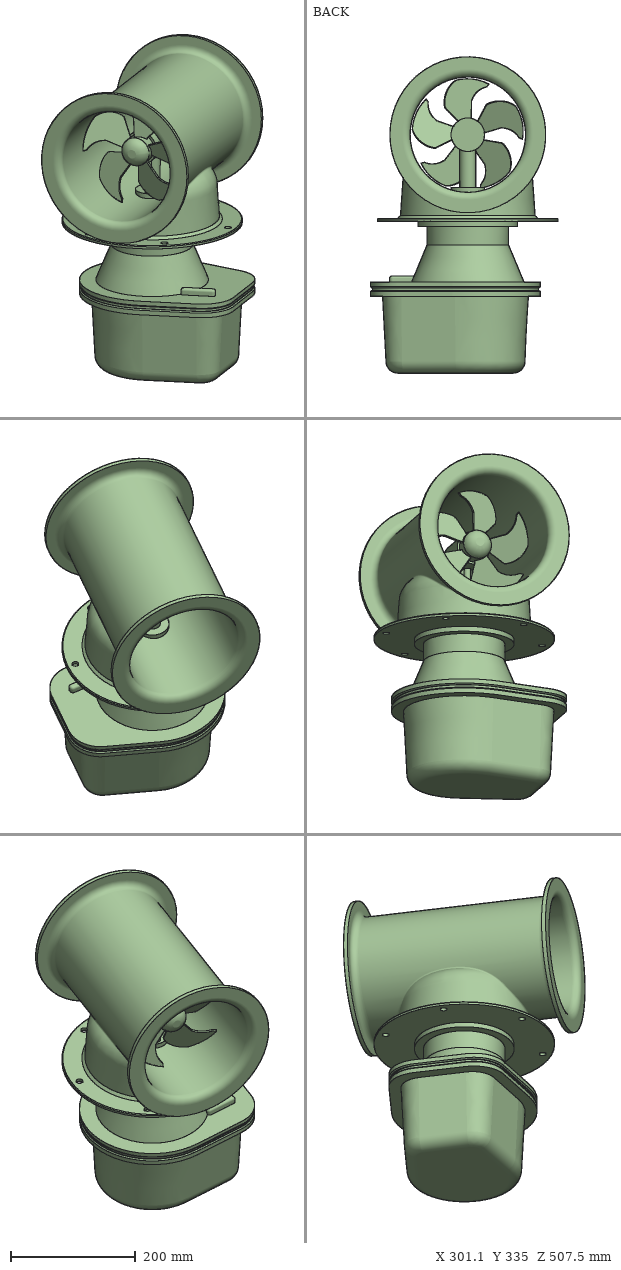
import cadquery as cq
import math


OVERALL_HEIGHT = 507.5

TUNNEL_LENGTH = 335.0
TUNNEL_OUTER_R = 196.0 / 2
BORE_R = 185.0 / 2
RIM_R = 250.0 / 2
RIM_THICKNESS = 6.5
RIM_FILLET = 11.0
MOUTH_FILLET = 12.0

PLATE_R = 290.0 / 2
PLATE_TOP = -134.0
PLATE_THICKNESS = 5.0
PLATE_EDGE_CHAMFER = 1.5
SOCKET_BASE_R = 108.0
SOCKET_SHOULDER_R = 104.5
SOCKET_SHOULDER_Z = -77.5
DOME_ROUND = 38.5
SELECT_MARGIN = 0.5
SEAM_FILLET = 2.5
SOCKET_FOOT = 4.5
BOLT_COUNT = 6
BOLT_HOLE_D = 10.5
BOLT_CIRCLE_R = 130.5

HOUSING_TOP = PLATE_TOP - PLATE_THICKNESS
BOSS_R = 160.0 / 2
BOSS_HEIGHT = 8.0
NECK_R = 131.0 / 2
NECK_BOTTOM = -176.5
CONE_BASE_R = 90.5
UPPER_FLANGE_TOP = -236.5
UPPER_FLANGE_THICKNESS = 9.0
GASKET_THICKNESS = 4.0
GASKET_INSET = 3.0
LOWER_FLANGE_THICKNESS = 9.5
FLANGE_EDGE_CHAMFER = 2.0
FLANGE_R = 117.0
FLANGE_REACH = 156.1
FLANGE_CORNER_R = 53.5
FLANK_ANGLE = 12.0
CUP_INSET = 19.5
CUP_CORNER_R = 38.5
CUP_DRAFT = 3.0
CUP_BOTTOM = RIM_R - OVERALL_HEIGHT
CUP_ROUND = 19.5

BAR_LENGTH = 56.0
BAR_WIDTH = 12.0
BAR_HEIGHT = 10.0
BAR_CENTER_X = 98.0
BAR_CENTER_Y = -47.5
BAR_TOP_ROUND = 4.0
BAR_CORNER_R = 4.5

BLADE_COUNT = 5
BLADE_TIP_R = 89.5
BLADE_THICKNESS = 3.0
BLADE_PITCH = 25.0
BLADE_ROOT_Z = 11.5
BLADE_Y = -65.0
HUB_R = 23.5
HUB_FRONT = -89.0
HUB_LENGTH = 38.0
NOSE_FLAT_R = 7.0
NOSE_LENGTH = 15.0
NOSE_BULGE_ANGLE = 40.0
GEARBOX_R = 27.0
GEARBOX_BACK = 25.5
LEG_D = 26.0
PIPE_D = 10.5
PIPE_STANDOFF = 4.5
FOOT_R = 27.0
FOOT_TOP = -84.5


def cylinder_down(radius, top, height):
    """Vertical cylinder on the Z axis, from `top` downward."""
    return cq.Workplane("XY").workplane(offset=top - height).circle(radius).extrude(height)


def cylinder_along_y(radius, start, length):
    """Cylinder on the tunnel axis, from Y = start toward +Y."""
    return cq.Workplane("XZ", origin=(0, start, 0)).circle(radius).extrude(-length)


def make_tunnel_tube():
    half = TUNNEL_LENGTH / 2
    rim_inner_y = half - RIM_THICKNESS
    outer = cylinder_along_y(TUNNEL_OUTER_R, -half, TUNNEL_LENGTH)
    for start in (-half, rim_inner_y):
        outer = outer.union(cylinder_along_y(RIM_R, start, RIM_THICKNESS))
    roots = cq.selectors.BoxSelector(
        (-RIM_R, -rim_inner_y - SELECT_MARGIN, -RIM_R), (RIM_R, rim_inner_y + SELECT_MARGIN, RIM_R)
    )
    on_wall = cq.selectors.RadiusNthSelector(0)
    return outer.edges("%CIRCLE").edges(roots).edges(on_wall).fillet(RIM_FILLET)


def make_bore():
    """Water passage, widening through a round mouth at each end."""
    half = TUNNEL_LENGTH / 2
    mouth_r = BORE_R + MOUTH_FILLET
    mouth_start = half - MOUTH_FILLET
    mid = MOUTH_FILLET * (1 - math.sqrt(0.5))
    profile = (
        cq.Workplane("XY")
        .moveTo(0, -half)
        .lineTo(mouth_r, -half)
        .threePointArc((BORE_R + mid, -half + mid), (BORE_R, -mouth_start))
        .lineTo(BORE_R, mouth_start)
        .threePointArc((BORE_R + mid, half - mid), (mouth_r, half))
        .lineTo(0, half)
        .close()
    )
    return profile.revolve(360, (0, 0, 0), (0, 1, 0))


def make_socket():
    """Slightly conical socket with a rounded dome, standing on the mounting plate."""
    dome_top = SOCKET_SHOULDER_Z + DOME_ROUND
    dome_flat_r = SOCKET_SHOULDER_R - DOME_ROUND
    diagonal = DOME_ROUND * math.sqrt(0.5)
    profile = (
        cq.Workplane("XZ")
        .moveTo(0, PLATE_TOP)
        .lineTo(SOCKET_BASE_R + SOCKET_FOOT, PLATE_TOP)
        .lineTo(SOCKET_BASE_R, PLATE_TOP + SOCKET_FOOT)
        .lineTo(SOCKET_SHOULDER_R, SOCKET_SHOULDER_Z)
        .threePointArc((dome_flat_r + diagonal, SOCKET_SHOULDER_Z + diagonal), (dome_flat_r, dome_top))
        .lineTo(0, dome_top)
        .close()
    )
    return profile.revolve(360, (0, 0, 0), (0, 1, 0))


def make_plate():
    plate = cylinder_down(PLATE_R, PLATE_TOP, PLATE_THICKNESS).edges(">Z").chamfer(PLATE_EDGE_CHAMFER)
    holes = (
        cq.Workplane("XY")
        .workplane(offset=HOUSING_TOP)
        .polarArray(BOLT_CIRCLE_R, 0, 360, BOLT_COUNT)
        .circle(BOLT_HOLE_D / 2)
        .extrude(PLATE_THICKNESS)
    )
    return plate.cut(holes)


def make_tunnel():
    shell = make_tunnel_tube().union(make_socket())
    seam = cq.selectors.BoxSelector(
        (-SOCKET_BASE_R, -SOCKET_BASE_R, -TUNNEL_OUTER_R - SELECT_MARGIN),
        (SOCKET_BASE_R, SOCKET_BASE_R, SOCKET_SHOULDER_Z + DOME_ROUND),
        boundingbox=True,
    )
    shell = shell.edges("not %CIRCLE").edges(seam).fillet(SEAM_FILLET)
    return shell.union(make_plate()).cut(make_bore())


def housing_outline(inset, corner_r, z):
    """Round motor outline with two sloping flanks that end in a rounded, straight +X side."""
    radius = FLANGE_R - inset
    reach = FLANGE_REACH - inset
    slope = math.radians(FLANK_ANGLE)
    normal = (math.sin(slope), math.cos(slope))
    flank = (radius * normal[0], radius * normal[1])
    corner_x = reach - corner_r
    corner_y = (radius - corner_r - corner_x * normal[0]) / normal[1]
    flank_end = (corner_x + corner_r * normal[0], corner_y + corner_r * normal[1])
    mid_angle = (math.pi / 2 - slope) / 2
    corner_mid = (corner_x + corner_r * math.cos(mid_angle), corner_y + corner_r * math.sin(mid_angle))
    return (
        cq.Workplane("XY")
        .workplane(offset=z)
        .moveTo(flank[0], -flank[1])
        .lineTo(flank_end[0], -flank_end[1])
        .threePointArc((corner_mid[0], -corner_mid[1]), (reach, -corner_y))
        .lineTo(reach, corner_y)
        .threePointArc(corner_mid, flank_end)
        .lineTo(*flank)
        .threePointArc((-radius, 0), (flank[0], -flank[1]))
        .close()
    )


def make_neck():
    """Boss, straight neck and widening cone between the mounting plate and the flanges."""
    profile = (
        cq.Workplane("XZ")
        .moveTo(0, HOUSING_TOP)
        .lineTo(BOSS_R, HOUSING_TOP)
        .lineTo(BOSS_R, HOUSING_TOP - BOSS_HEIGHT)
        .lineTo(NECK_R, HOUSING_TOP - BOSS_HEIGHT)
        .lineTo(NECK_R, NECK_BOTTOM)
        .lineTo(CONE_BASE_R, UPPER_FLANGE_TOP)
        .lineTo(0, UPPER_FLANGE_TOP)
        .close()
    )
    return profile.revolve(360, (0, 0, 0), (0, 1, 0))


def make_bar():
    """Round-topped bar, parallel to the -Y flank of the flange."""
    bar = (
        cq.Workplane("XY")
        .box(BAR_LENGTH, BAR_WIDTH, BAR_HEIGHT, centered=(True, True, False))
        .edges("|Z")
        .fillet(BAR_CORNER_R)
        .faces(">Z")
        .edges()
        .fillet(BAR_TOP_ROUND)
    )
    bar = bar.rotate((0, 0, 0), (0, 0, 1), FLANK_ANGLE)
    return bar.translate((BAR_CENTER_X, BAR_CENTER_Y, UPPER_FLANGE_TOP))


def make_housing():
    gasket_top = UPPER_FLANGE_TOP - UPPER_FLANGE_THICKNESS
    lower_flange_top = gasket_top - GASKET_THICKNESS
    cup_top = lower_flange_top - LOWER_FLANGE_THICKNESS
    upper_flange = (
        housing_outline(0, FLANGE_CORNER_R, UPPER_FLANGE_TOP)
        .extrude(-UPPER_FLANGE_THICKNESS)
        .edges("<Z")
        .chamfer(FLANGE_EDGE_CHAMFER)
    )
    gasket = housing_outline(GASKET_INSET, FLANGE_CORNER_R, gasket_top).extrude(-GASKET_THICKNESS)
    lower_flange = (
        housing_outline(0, FLANGE_CORNER_R, lower_flange_top)
        .extrude(-LOWER_FLANGE_THICKNESS)
        .edges(">Z")
        .chamfer(FLANGE_EDGE_CHAMFER)
    )
    cup = (
        housing_outline(CUP_INSET, CUP_CORNER_R, cup_top)
        .extrude(CUP_BOTTOM - cup_top, taper=CUP_DRAFT)
        .edges("<Z")
        .fillet(CUP_ROUND)
    )
    housing = make_neck()
    for part in (upper_flange, gasket, lower_flange, cup, make_bar()):
        housing = housing.union(part)
    return housing


def make_blade():
    """Flat sickle-shaped blade pointing along +Z, turned to its pitch about that axis."""
    widen = 1 / math.cos(math.radians(BLADE_PITCH))

    def point(x, z):
        return (x * widen, z)

    blade = (
        cq.Workplane("XZ")
        .moveTo(*point(-4.5, BLADE_ROOT_Z))
        .lineTo(*point(-5.5, 54.5))
        .spline([point(-14.5, 68.5), point(-30.0, 76.5)], includeCurrent=True)
        .lineTo(*point(-33.5, 81.0))
        .threePointArc(point(-7.5, BLADE_TIP_R), point(19.5, 87.5))
        .spline([point(31.5, 74.0), point(37.0, 58.0), point(36.5, 43.0)], includeCurrent=True)
        .lineTo(*point(14.5, 21.0))
        .lineTo(*point(10.0, BLADE_ROOT_Z))
        .close()
        .extrude(BLADE_THICKNESS / 2, both=True)
    )
    return blade.rotate((0, 0, 0), (0, 0, 1), BLADE_PITCH).translate((0, BLADE_Y, 0))


def make_hub():
    """Hub with a rounded nose that ends in a small flat."""
    nose_back = HUB_FRONT + NOSE_LENGTH
    bulge_angle = math.radians(NOSE_BULGE_ANGLE)
    bulge = (HUB_R * math.cos(bulge_angle), nose_back - NOSE_LENGTH * math.sin(bulge_angle))
    profile = (
        cq.Workplane("XY")
        .moveTo(0, HUB_FRONT)
        .lineTo(NOSE_FLAT_R, HUB_FRONT)
        .threePointArc(bulge, (HUB_R, nose_back))
        .lineTo(HUB_R, HUB_FRONT + HUB_LENGTH)
        .lineTo(0, HUB_FRONT + HUB_LENGTH)
        .close()
    )
    return profile.revolve(360, (0, 0, 0), (0, 1, 0))


def make_gear_leg():
    """Gearbox behind the hub, carried by a round leg on a foot that follows the tunnel floor."""
    gearbox_front = HUB_FRONT + HUB_LENGTH
    gearbox = cylinder_along_y(GEARBOX_R, gearbox_front, GEARBOX_BACK - gearbox_front)
    leg = cylinder_down(LEG_D / 2, 0, BORE_R)
    pipe = cylinder_down(PIPE_D / 2, 0, BORE_R).translate((0, -LEG_D / 2 - PIPE_STANDOFF, 0))
    foot = cylinder_down(FOOT_R, FOOT_TOP, FOOT_TOP + BORE_R)
    inside_bore = cylinder_along_y(BORE_R, -TUNNEL_LENGTH / 2, TUNNEL_LENGTH)
    return gearbox.union(leg).union(pipe).union(foot).intersect(inside_bore)


def make_propeller_unit():
    unit = make_hub().union(make_gear_leg())
    blade = make_blade()
    for index in range(BLADE_COUNT):
        angle = index * 360 / BLADE_COUNT
        unit = unit.union(blade.rotate((0, 0, 0), (0, 1, 0), angle))
    return unit


tunnel = make_tunnel().solids()
housing = make_housing().solids()
propeller_unit = make_propeller_unit().solids()

result = cq.Compound.makeCompound([tunnel.val(), housing.val(), propeller_unit.val()])